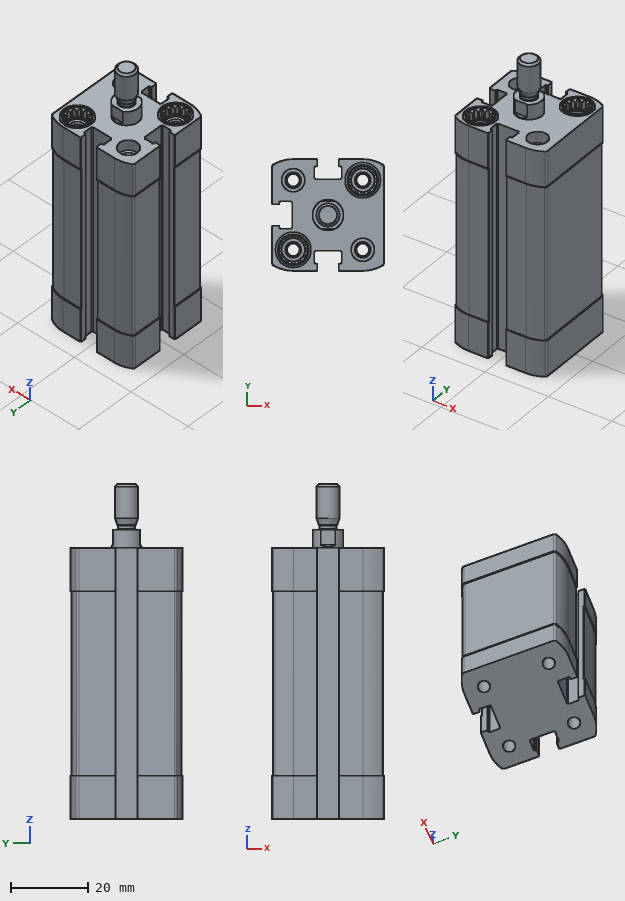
import cadquery as cq
import math

width = 29.0
overall_height = 86.7
body_height = 70.2
cap_height = 11.2
barrel_inset = 0.25

flat_half_width = 9.0
corner_radius = 10.0
edge_fillet = 0.8

slot_mouth_half_width = 2.75
slot_mouth_chamfer = 0.2
slot_inner_half_width = 3.5
slot_floor_distance = 9.3
slot_lip_distance = 12.6
slot_corner_chamfer = 0.3
slot_angles = (0, 90, 180)

hole_offset = 9.0
through_diameter = 3.24
lead_in_diameter = 4.13
recess_diameter = 6.0
recess_depth = 3.5

tooth_count = 12
tooth_root_diameter = 7.8
tooth_tip_diameter = 5.7
tooth_depth = 3.0
crest_inner_diameter = 7.5
crest_outer_diameter = 8.0
inner_bevel_depth = 0.7
rim_diameter = 9.2
rim_depth = 0.5

rod_diameter = 8.0
rod_top = 74.9
wrench_width = 7.0
wrench_base = 70.95
neck_diameter = 4.5
neck_flare = 0.2
neck_top = 76.15
thread_diameter = 6.0
thread_base = 77.9
thread_chamfer = 0.65


def prism(points, base, height):
    return cq.Workplane("XY").workplane(offset=base).polyline(points).close().extrude(height)


def revolved(points):
    """Solid of revolution about Z from (radius, z) points."""
    return cq.Workplane("XZ").polyline(points).close().revolve(360, (0, 0, 0), (0, 1, 0))



def outline_prism(half_width, base, height):
    """Prism with flat sides and four arced corners, tangent to the front and back faces."""
    arc_center_y = half_width - corner_radius
    arc_end_angle = math.acos((half_width - flat_half_width) / corner_radius)
    arc_mid_angle = (math.pi / 2 + arc_end_angle) / 2
    arc_end_y = arc_center_y + corner_radius * math.sin(arc_end_angle)
    mid_x = flat_half_width + corner_radius * math.cos(arc_mid_angle)
    mid_y = arc_center_y + corner_radius * math.sin(arc_mid_angle)
    solid = (
        cq.Workplane("XY")
        .workplane(offset=base)
        .moveTo(-flat_half_width, half_width)
        .lineTo(flat_half_width, half_width)
        .threePointArc((mid_x, mid_y), (half_width, arc_end_y))
        .lineTo(half_width, -arc_end_y)
        .threePointArc((mid_x, -mid_y), (flat_half_width, -half_width))
        .lineTo(-flat_half_width, -half_width)
        .threePointArc((-mid_x, -mid_y), (-half_width, -arc_end_y))
        .lineTo(-half_width, arc_end_y)
        .threePointArc((-mid_x, mid_y), (-flat_half_width, half_width))
        .close()
        .extrude(height)
    )
    side_edges = solid.faces("<X or >X").edges("|Z")
    return side_edges.fillet(edge_fillet)


def slot_cutter(half_width, base, height):
    """T-slot opening in the +Y face, symmetric about X = 0."""
    mouth_edge = slot_mouth_half_width + slot_mouth_chamfer
    floor_edge = slot_inner_half_width - slot_corner_chamfer
    right_side = [
        (mouth_edge, half_width),
        (slot_mouth_half_width, half_width - slot_mouth_chamfer),
        (slot_mouth_half_width, slot_lip_distance),
        (floor_edge, slot_lip_distance),
        (slot_inner_half_width, slot_lip_distance - slot_corner_chamfer),
        (slot_inner_half_width, slot_floor_distance + slot_corner_chamfer),
        (floor_edge, slot_floor_distance),
    ]
    left_side = [(-x, y) for x, y in reversed(right_side)]
    return prism(right_side + left_side, base, height)


def slotted_section(half_width, base, height):
    section = outline_prism(half_width, base, height)
    for angle in slot_angles:
        slot = slot_cutter(half_width, base, height)
        section = section.cut(slot.rotate((0, 0, 0), (0, 0, 1), angle))
    return section


def stepped_hole():
    """Through hole with a 45 degree lead-in and a round recess at the top."""
    bore = through_diameter / 2
    lead_in = lead_in_diameter / 2
    recess = recess_diameter / 2
    floor = body_height - recess_depth
    return revolved([
        (0, 0),
        (bore, 0),
        (bore, floor - (lead_in - bore)),
        (lead_in, floor),
        (recess, floor),
        (recess, body_height),
        (0, body_height),
    ])


def tooth_ring():
    """Star-shaped recess whose tooth tops are bevelled inward and outward."""
    star = []
    for i in range(2 * tooth_count):
        radius = (tooth_root_diameter if i % 2 == 0 else tooth_tip_diameter) / 2
        angle = math.pi * i / tooth_count
        star.append((radius * math.cos(angle), radius * math.sin(angle)))
    teeth = prism(star, body_height - tooth_depth, tooth_depth)
    inner_bevel = revolved([
        (0, body_height),
        (crest_inner_diameter / 2, body_height),
        (recess_diameter / 2, body_height - inner_bevel_depth),
        (0, body_height - inner_bevel_depth),
    ])
    outer_groove = revolved([
        (crest_outer_diameter / 2, body_height),
        (rim_diameter / 2, body_height),
        (rim_diameter / 2, body_height - rim_depth),
    ])
    return teeth.union(inner_bevel).union(outer_groove)


def make_body():
    cap_half_width = width / 2
    barrel_height = body_height - 2 * cap_height
    body = slotted_section(cap_half_width - barrel_inset, cap_height, barrel_height)
    for cap_base in (0, body_height - cap_height):
        body = body.union(slotted_section(cap_half_width, cap_base, cap_height))
    for side_x in (-1, 1):
        for side_y in (-1, 1):
            hole = stepped_hole()
            if side_x == side_y:
                hole = hole.union(tooth_ring())
            body = body.cut(hole.translate((side_x * hole_offset, side_y * hole_offset, 0)))
    return body



def make_rod():
    """Rod standing on the top face of the body, with wrench flats and a threaded end."""
    rod_radius = rod_diameter / 2
    neck_radius = neck_diameter / 2
    flare_radius = neck_radius + neck_flare
    thread_radius = thread_diameter / 2
    rod = revolved([
        (0, body_height),
        (rod_radius, body_height),
        (rod_radius, rod_top),
        (flare_radius, rod_top),
        (neck_radius, rod_top + neck_flare),
        (neck_radius, neck_top - neck_flare),
        (flare_radius, neck_top),
        (thread_radius, thread_base),
        (thread_radius, overall_height - thread_chamfer),
        (thread_radius - thread_chamfer, overall_height),
        (0, overall_height),
    ])
    flat = wrench_width / 2
    flat_cutter = (
        cq.Workplane("YZ")
        .polyline([
            (flat, rod_top),
            (flat, wrench_base),
            (flat + rod_radius, wrench_base - rod_radius),
            (flat + rod_radius, rod_top),
        ])
        .close()
        .extrude(rod_radius, both=True)
    )
    return rod.cut(flat_cutter).cut(flat_cutter.mirror("XZ"))


body = make_body()
rod = make_rod()
result = cq.Compound.makeCompound([body.val(), rod.val()])